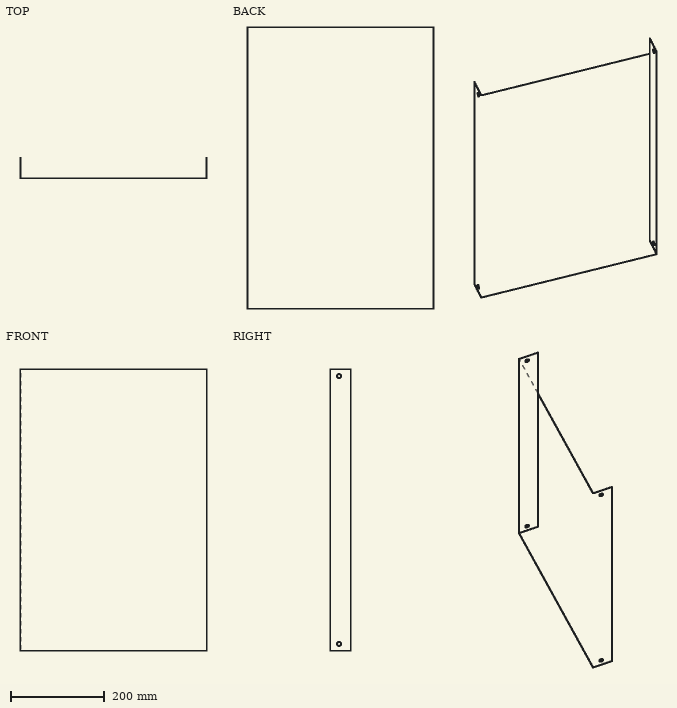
import cadquery as cq

width = 397.0
depth = 44.5
height = 600.0
sheet = 0.8
bend_radius = 0.9

hole_diameter = 8.5
hole_from_end = 15.0
hole_from_face = 19.0


def folded_block(block_width, corner_radius):
    """Full-height block whose two front vertical edges are rounded."""
    return (
        cq.Workplane("XY")
        .box(block_width, depth, height, centered=(True, False, False))
        .edges("|Z and <Y")
        .fillet(corner_radius)
    )


outer = folded_block(width, bend_radius)
inner = folded_block(width - 2 * sheet, bend_radius - sheet)
channel = outer.cut(inner.translate((0, sheet, 0)))

hole_heights = [hole_from_end, height - hole_from_end]
holes = (
    cq.Workplane("YZ")
    .pushPoints([(hole_from_face, z) for z in hole_heights])
    .circle(hole_diameter / 2)
    .extrude(width, both=True)
)

result = channel.cut(holes)